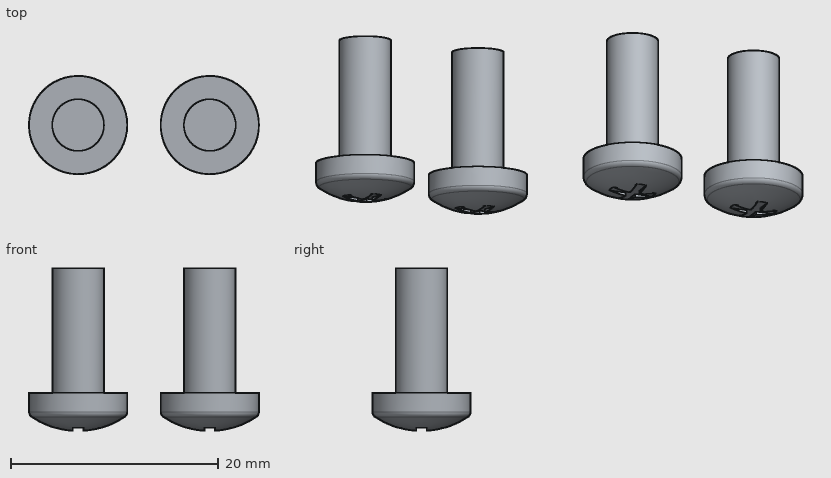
import cadquery as cq
import math

head_diameter = 9.5
overall_length = 22.2
screw_spacing = overall_length - head_diameter
shank_diameter = 5.0
shank_length = 12.0

head_height = 3.7
dome_radius = 8.0
rim_radius = 0.62

cross_width = 1.0
cross_depth = 0.33

head_radius = head_diameter / 2


def make_head():
    """Revolved head: cylindrical side, tangent rounded rim and spherical dome."""
    dome_center_z = dome_radius - head_height
    rim_center_x = head_radius - rim_radius
    center_distance = dome_radius - rim_radius
    rim_center_z = dome_center_z - math.sqrt(center_distance**2 - rim_center_x**2)

    tangent_angle = math.asin(rim_center_x / center_distance)
    dome_mid_angle = tangent_angle / 2
    rim_mid_angle = (tangent_angle + math.pi / 2) / 2

    def dome_point(angle):
        return (dome_radius * math.sin(angle), dome_center_z - dome_radius * math.cos(angle))

    rim_mid = (
        rim_center_x + rim_radius * math.sin(rim_mid_angle),
        rim_center_z - rim_radius * math.cos(rim_mid_angle),
    )
    return (
        cq.Workplane("XZ")
        .lineTo(head_radius, 0)
        .lineTo(head_radius, rim_center_z)
        .threePointArc(rim_mid, dome_point(tangent_angle))
        .threePointArc(dome_point(dome_mid_angle), (0, -head_height))
        .close()
        .revolve(360, (0, 0, 0), (0, 1, 0))
    )


def make_cross():
    """Cutter for two perpendicular slots crossing at the dome apex."""
    slot_base = cq.Workplane("XY").workplane(offset=-head_height)
    slot_along_x = slot_base.rect(head_diameter, cross_width).extrude(cross_depth)
    slot_along_y = slot_base.rect(cross_width, head_diameter).extrude(cross_depth)
    return slot_along_x.union(slot_along_y)


def make_screw():
    """One screw: shank and head as one solid, with the cross cut into the dome."""
    shank = cq.Workplane("XY").circle(shank_diameter / 2).extrude(shank_length)
    return make_head().union(shank).cut(make_cross())


screws = []
for side in (-1, 1):
    screw = make_screw().translate((side * screw_spacing / 2, 0, 0))
    screws.append(screw.val())

result = cq.Compound.makeCompound(screws)